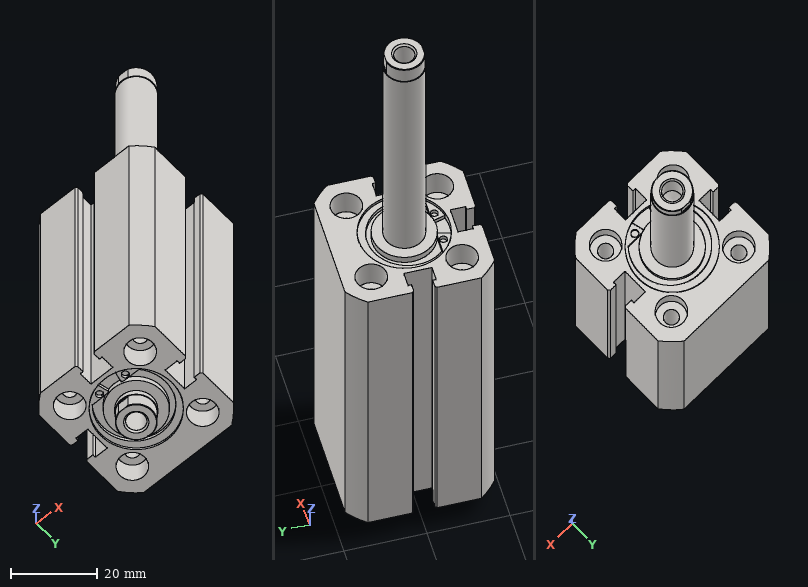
import cadquery as cq
import math


HOUSING_WIDTH = 36.0
HOUSING_LENGTH = 82.0
CORNER_RADIUS = 22.6
BORE_RADIUS = 11.0

MOUNT_OFFSET = 11.0
MOUNT_HOLE_DIAMETER = 3.7
COUNTERBORE_DIAMETER = 7.5
COUNTERBORE_DEPTH = 7.0

SLOT_OPENING_WIDTH = 5.1
SLOT_INNER_WIDTH = 6.8
SLOT_DEPTH = 6.0
SLOT_LIP = 2.3
SLOT_MOUTH_CHAMFER = 0.5
SLOT_SIDE_ANGLES = (0, -90, 180)

ROD_DIAMETER = 10.0
ROD_NECK_DIAMETER = 9.7
ROD_NECK_LENGTH = 4.3
ROD_END_CHAMFER = 0.2
ROD_FLATS_WIDTH = 9.2
ROD_FLATS_LENGTH = 4.0
ROD_LENGTH = 154.0
ROD_BOTTOM_OVERHANG = 6.0
TAP_RADIUS = 2.5
TAP_DEPTH = 12.0
TAP_CHAMFER = 0.5
DRILL_TIP_ANGLE = 118

RING_RECESS = 0.8
RING_THICKNESS = 1.1
RING_INNER_RADIUS = 9.7
RING_INNER_SHIFT = 0.8
LUG_EDGE_Y = -7.2
LUG_HOLE_X = 4.0
LUG_HOLE_Y = -8.3
LUG_HOLE_DIAMETER = 1.8
RING_GAP_HALF_ANGLE = 14.5

BOSS_RADIUS = 7.7
GUIDE_FLANGE_LENGTH = 9.2

HALF_WIDTH = HOUSING_WIDTH / 2
ROD_RADIUS = ROD_DIAMETER / 2
ROD_NECK_RADIUS = ROD_NECK_DIAMETER / 2
MIDDLE_Z = HOUSING_LENGTH / 2
ROD_BOTTOM_Z = -ROD_BOTTOM_OVERHANG
ROD_TOP_Z = ROD_BOTTOM_Z + ROD_LENGTH
FLANGE_TOP_Z = HOUSING_LENGTH - RING_RECESS - RING_THICKNESS


def cylinder(radius, bottom_z, length):
    """Round bar on the cylinder axis."""
    return cq.Workplane("XY").workplane(offset=bottom_z).circle(radius).extrude(length)


def bottom_copy(top_body):
    """Mirror a body at the top of the housing to the bottom."""
    return top_body.mirror("XY", (0, 0, MIDDLE_Z))


def t_slot(side_angle):
    """T-slot cutter for the side that faces the given angle about Z."""
    opening = cq.Workplane("XY").box(
        SLOT_DEPTH, SLOT_OPENING_WIDTH, HOUSING_LENGTH, centered=(False, True, False)
    )
    undercut = cq.Workplane("XY").box(
        SLOT_DEPTH - SLOT_LIP, SLOT_INNER_WIDTH, HOUSING_LENGTH, centered=(False, True, False)
    )
    half_opening = SLOT_OPENING_WIDTH / 2
    half_mouth = half_opening + SLOT_MOUTH_CHAMFER
    mouth = (
        cq.Workplane("XY")
        .polyline([
            (SLOT_DEPTH - SLOT_MOUTH_CHAMFER, -half_opening),
            (SLOT_DEPTH, -half_mouth),
            (SLOT_DEPTH, half_mouth),
            (SLOT_DEPTH - SLOT_MOUTH_CHAMFER, half_opening),
        ])
        .close()
        .extrude(HOUSING_LENGTH)
    )
    cutter = opening.union(undercut).union(mouth).translate((HALF_WIDTH - SLOT_DEPTH, 0, 0))
    return cutter.rotate((0, 0, 0), (0, 0, 1), side_angle)


def make_housing():
    """Extruded housing with its bore, T-slots and mounting holes."""
    housing = cq.Workplane("XY").rect(HOUSING_WIDTH, HOUSING_WIDTH).extrude(HOUSING_LENGTH)
    housing = housing.intersect(cylinder(CORNER_RADIUS, 0, HOUSING_LENGTH))
    housing = housing.cut(cylinder(BORE_RADIUS, 0, HOUSING_LENGTH))
    for side_angle in SLOT_SIDE_ANGLES:
        housing = housing.cut(t_slot(side_angle))

    mount_pitch = 2 * MOUNT_OFFSET
    mount_points = cq.Workplane("XY").rect(mount_pitch, mount_pitch, forConstruction=True).vertices()
    housing = housing.cut(mount_points.circle(MOUNT_HOLE_DIAMETER / 2).extrude(HOUSING_LENGTH))
    bottom_counterbores = mount_points.circle(COUNTERBORE_DIAMETER / 2).extrude(COUNTERBORE_DEPTH)
    housing = housing.cut(bottom_counterbores)
    return housing.cut(bottom_counterbores.mirror("XY", (0, 0, MIDDLE_Z)))


def wrench_flats(bottom_z):
    """Cutter for two wrench flats that face -Y and +Y."""
    surround = cq.Workplane("XY").workplane(offset=bottom_z).rect(ROD_DIAMETER, ROD_DIAMETER)
    between_flats = cq.Workplane("XY").workplane(offset=bottom_z).rect(ROD_DIAMETER, ROD_FLATS_WIDTH)
    return surround.extrude(ROD_FLATS_LENGTH).cut(between_flats.extrude(ROD_FLATS_LENGTH))


def tapped_hole():
    """Hole cutter for the top rod end: chamfered mouth, straight wall and drill tip."""
    tip_length = TAP_RADIUS / math.tan(math.radians(DRILL_TIP_ANGLE / 2))
    return (
        cq.Workplane("XZ")
        .moveTo(0, ROD_TOP_Z)
        .lineTo(TAP_RADIUS + TAP_CHAMFER, ROD_TOP_Z)
        .lineTo(TAP_RADIUS, ROD_TOP_Z - TAP_CHAMFER)
        .lineTo(TAP_RADIUS, ROD_TOP_Z - TAP_DEPTH)
        .lineTo(0, ROD_TOP_Z - TAP_DEPTH - tip_length)
        .close()
        .revolve(360, (0, 0, 0), (0, 1, 0))
    )


def make_rod():
    """Rod with a thinner neck, wrench flats and a tapped hole at each end."""
    shank_length = ROD_LENGTH - 2 * ROD_NECK_LENGTH
    rod = cylinder(ROD_NECK_RADIUS, ROD_BOTTOM_Z, ROD_LENGTH)
    rod = rod.edges("%CIRCLE").chamfer(ROD_END_CHAMFER)
    rod = rod.union(cylinder(ROD_RADIUS, ROD_BOTTOM_Z + ROD_NECK_LENGTH, shank_length))
    for flats_bottom_z in (ROD_BOTTOM_Z, ROD_TOP_Z - ROD_FLATS_LENGTH):
        rod = rod.cut(wrench_flats(flats_bottom_z))
    top_hole = tapped_hole()
    rod_middle_z = (ROD_BOTTOM_Z + ROD_TOP_Z) / 2
    return rod.cut(top_hole).cut(top_hole.mirror("XY", (0, 0, rod_middle_z)))


def make_top_guide():
    """Rod guide: flange filling the bore, with a boss level with the housing face."""
    flange = cylinder(BORE_RADIUS, FLANGE_TOP_Z - GUIDE_FLANGE_LENGTH, GUIDE_FLANGE_LENGTH)
    boss = cylinder(BOSS_RADIUS, FLANGE_TOP_Z, HOUSING_LENGTH - FLANGE_TOP_Z)
    return flange.union(boss).cut(cylinder(ROD_RADIUS, 0, HOUSING_LENGTH))


def make_top_ring():
    """Retaining ring that tapers away from its gap, with a holed lug on each side of the gap."""
    plane = cq.Workplane("XY").workplane(offset=FLANGE_TOP_Z)
    disc = plane.circle(BORE_RADIUS).extrude(RING_THICKNESS)
    opening = plane.center(0, -RING_INNER_SHIFT).circle(RING_INNER_RADIUS).extrude(RING_THICKNESS)

    lug_height = BORE_RADIUS + LUG_EDGE_Y
    lug_zone = (
        plane.center(0, LUG_EDGE_Y - lug_height / 2)
        .rect(2 * BORE_RADIUS, lug_height)
        .extrude(RING_THICKNESS)
    )
    boss_clearance = plane.circle(BOSS_RADIUS).extrude(RING_THICKNESS)

    gap_end_x = BORE_RADIUS * math.tan(math.radians(RING_GAP_HALF_ANGLE))
    gap = (
        plane.polyline([(0, 0), (gap_end_x, -BORE_RADIUS), (-gap_end_x, -BORE_RADIUS)])
        .close()
        .extrude(RING_THICKNESS)
    )
    lug_holes = (
        plane.pushPoints([(-LUG_HOLE_X, LUG_HOLE_Y), (LUG_HOLE_X, LUG_HOLE_Y)])
        .circle(LUG_HOLE_DIAMETER / 2)
        .extrude(RING_THICKNESS)
    )
    ring = disc.cut(opening.cut(lug_zone))
    return ring.cut(boss_clearance).cut(gap).cut(lug_holes)


housing = make_housing()
rod = make_rod()
top_guide = make_top_guide()
top_ring = make_top_ring()

end_bodies = []
for top_body in (top_guide, top_ring):
    end_bodies.append(top_body.val())
    end_bodies.append(bottom_copy(top_body).val())

result = cq.Compound.makeCompound([housing.val(), rod.val(), *end_bodies])